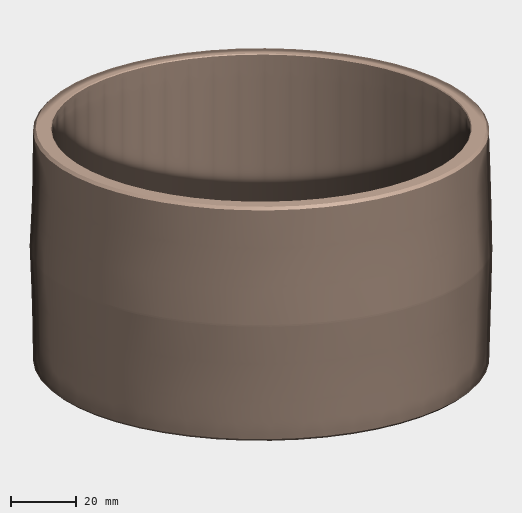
import cadquery as cq

crown_diameter = 141.2
end_diameter = 139.2
bore_diameter = 128.0
height = 76.3
crown_band_width = 0.5
outer_chamfer = 0.8
bore_chamfer = 0.3

crown_radius = crown_diameter / 2
end_radius = end_diameter / 2
bore_radius = bore_diameter / 2
half_height = height / 2
half_band = crown_band_width / 2
taper_end = half_height - outer_chamfer
bore_end = half_height - bore_chamfer

upper_half = [
    (crown_radius, half_band),
    (end_radius, taper_end),
    (end_radius - outer_chamfer, half_height),
    (bore_radius + bore_chamfer, half_height),
    (bore_radius, bore_end),
]
lower_half = [(radius, -z) for radius, z in reversed(upper_half)]

result = (
    cq.Workplane("XZ")
    .polyline(upper_half + lower_half)
    .close()
    .revolve(360, (0, 0, 0), (0, 1, 0))
)